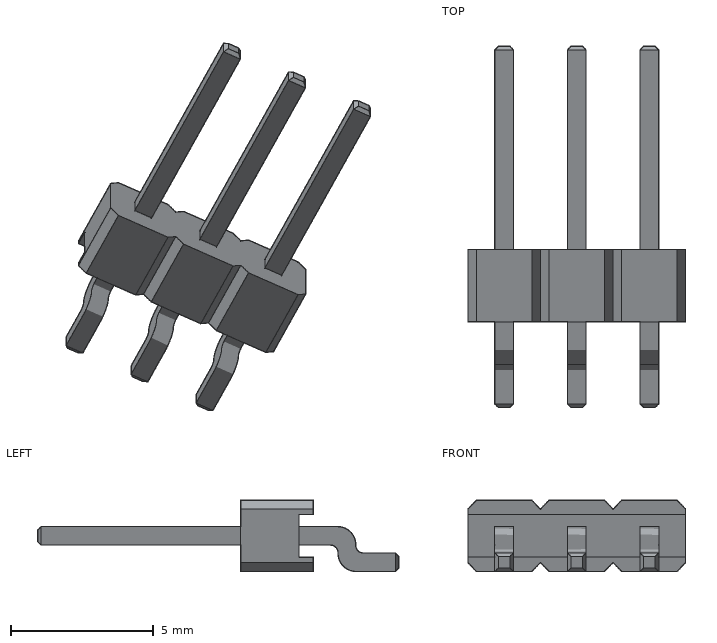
import cadquery as cq


pin_count = 3
pitch = 2.54

housing_length = pin_count * pitch
housing_depth = 2.54
housing_height = 2.5
bevel_width = 0.3
bevel_height = 0.32
channel_depth = 0.49
flange_thickness = 0.5

pin_length = 12.64
pin_size = 0.66
tip_chamfer = 0.13
foot_to_housing = 3.0
foot_to_crank = 1.5
crank_thickness = 0.63
outer_bend_radius = 0.65
inner_bend_radius = 0.25

housing_front_y = foot_to_housing
housing_back_y = housing_front_y + housing_depth
shank_bottom_z = (housing_height - pin_size) / 2
shank_top_z = shank_bottom_z + pin_size
crank_front_y = foot_to_crank
crank_back_y = crank_front_y + crank_thickness
pin_positions = [(i - (pin_count - 1) / 2) * pitch for i in range(pin_count)]


def make_housing_cell(center_x):
    """One pitch of the housing: a block with its four long edges bevelled."""
    half_width = pitch / 2
    half_flat = half_width - bevel_width
    bevel_top_z = housing_height - bevel_height
    return (
        cq.Workplane("XZ", origin=(center_x, housing_back_y, 0))
        .moveTo(-half_flat, 0)
        .lineTo(half_flat, 0)
        .lineTo(half_width, bevel_height)
        .lineTo(half_width, bevel_top_z)
        .lineTo(half_flat, housing_height)
        .lineTo(-half_flat, housing_height)
        .lineTo(-half_width, bevel_top_z)
        .lineTo(-half_width, bevel_height)
        .close()
        .extrude(housing_depth)
    )


def make_front_channel():
    """Cutter for the channel between the two front flanges, along the whole row."""
    channel_height = housing_height - 2 * flange_thickness
    return cq.Workplane("XY").box(
        housing_length, channel_depth, channel_height, centered=(True, False, False)
    ).translate((0, housing_front_y, flange_thickness))


def make_pin_hole(center_x):
    """Cutter for the square hole that a pin shank fills."""
    return cq.Workplane("XY").box(
        pin_size, housing_depth, pin_size, centered=(True, False, False)
    ).translate((center_x, housing_front_y, shank_bottom_z))


def make_housing():
    """Bevelled cells joined in a row, so that V grooves form between them."""
    body = make_housing_cell(pin_positions[0])
    for center_x in pin_positions[1:]:
        body = body.union(make_housing_cell(center_x))
    body = body.cut(make_front_channel())
    for center_x in pin_positions:
        body = body.cut(make_pin_hole(center_x))
    return body


def make_pin(center_x):
    """Straight shank that cranks down to a foot on the mounting plane."""
    pin = (
        cq.Workplane("YZ", origin=(center_x, 0, 0))
        .moveTo(0, 0)
        .lineTo(crank_back_y - outer_bend_radius, 0)
        .radiusArc((crank_back_y, outer_bend_radius), -outer_bend_radius)
        .lineTo(crank_back_y, shank_bottom_z - inner_bend_radius)
        .radiusArc((crank_back_y + inner_bend_radius, shank_bottom_z), inner_bend_radius)
        .lineTo(pin_length, shank_bottom_z)
        .lineTo(pin_length, shank_top_z)
        .lineTo(crank_front_y + outer_bend_radius, shank_top_z)
        .radiusArc((crank_front_y, shank_top_z - outer_bend_radius), -outer_bend_radius)
        .lineTo(crank_front_y, pin_size + inner_bend_radius)
        .radiusArc((crank_front_y - inner_bend_radius, pin_size), inner_bend_radius)
        .lineTo(0, pin_size)
        .close()
        .extrude(pin_size / 2, both=True)
    )
    return pin.faces("<Y or >Y").chamfer(tip_chamfer)


housing = make_housing()
pins = [make_pin(center_x) for center_x in pin_positions]

result = cq.Compound.makeCompound([housing.val(), *[pin.val() for pin in pins]])